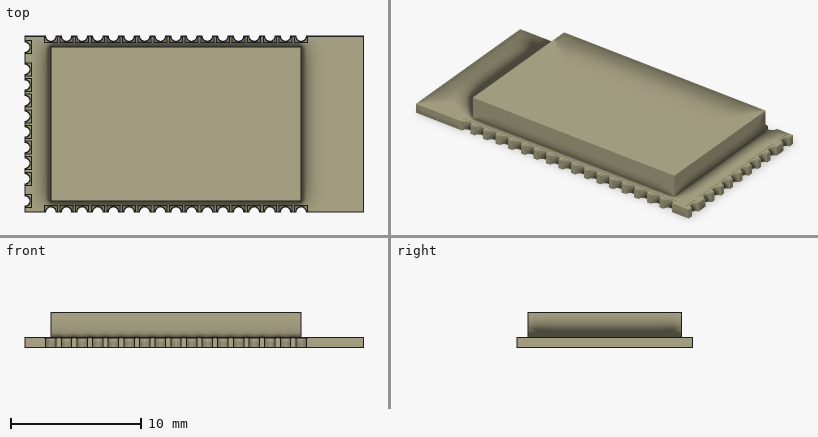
import cadquery as cq

board_length = 26.0
board_width = 13.5
board_thickness = 0.8

shield_length = 19.2
shield_width = 11.8
shield_height = 1.9
shield_inset = 2.0

pad_pitch = 1.2
pad_width = 1.0
pad_depth = 0.5
pad_recess = 0.05
notch_radius = 0.4
side_pad_count = 17
first_side_pad_inset = 2.0
end_pad_count = 8
corner_pad_gap = 1.7

left_edge = -board_length / 2
long_edge = board_width / 2


def make_board():
    return cq.Workplane("XY").box(
        board_length, board_width, board_thickness, centered=(True, True, False)
    )


def make_shield():
    center_x = left_edge + shield_inset + shield_length / 2
    return (
        cq.Workplane("XY", origin=(center_x, 0, board_thickness))
        .rect(shield_length, shield_width)
        .extrude(shield_height)
    )


def side_pad_centers():
    """Pad centres on both long edges."""
    first_x = left_edge + first_side_pad_inset
    return [
        (first_x + i * pad_pitch, side * long_edge)
        for side in (-1, 1)
        for i in range(side_pad_count)
    ]


def end_pad_centers():
    """Pad centres on the left edge: the pitched group and a lone pad at each end."""
    last_y = (end_pad_count - 1) * pad_pitch / 2
    group = [-last_y + i * pad_pitch for i in range(end_pad_count)]
    lone_y = last_y + corner_pad_gap
    return [(left_edge, y) for y in [-lone_y, *group, lone_y]]


def cut_pads(board, centers, size_x, size_y):
    """Cut recesses and notches centred on the board edge."""
    recesses = (
        cq.Workplane("XY", origin=(0, 0, board_thickness))
        .pushPoints(centers)
        .rect(size_x, size_y)
        .extrude(-pad_recess)
    )
    notches = (
        cq.Workplane("XY")
        .pushPoints(centers)
        .circle(notch_radius)
        .extrude(board_thickness)
    )
    return board.cut(recesses).cut(notches)


board = make_board()
board = cut_pads(board, side_pad_centers(), pad_width, 2 * pad_depth)
board = cut_pads(board, end_pad_centers(), 2 * pad_depth, pad_width)
result = board.union(make_shield())